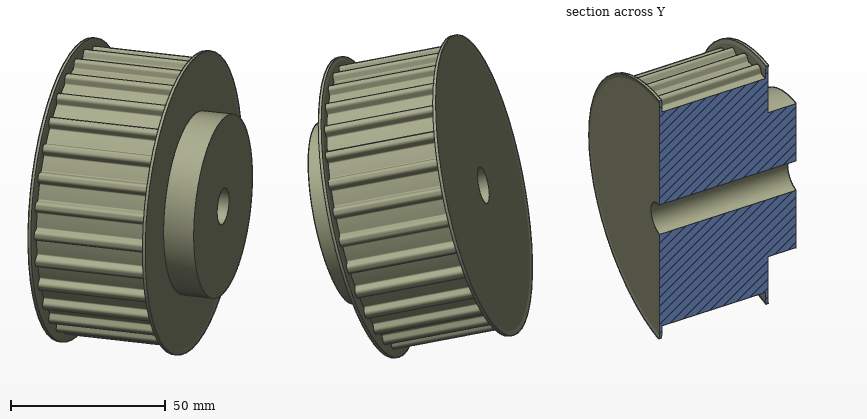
import cadquery as cq
import math

flange_radius = 49.5
belt_section_width = 40.0
hub_radius = 30.0
hub_length = 10.0
bore_radius = 6.0

flange_thickness = 1.0
flange_flat_radius = 48.0
rim_bend = 0.25

tooth_count = 30
tip_radius = 46.8
groove_depth = 2.4
groove_root_width = 5.2
groove_wall_angle = 25.0
mouth_overshoot = 1.0
tip_fillet = 1.2
root_fillet = 0.5

root_radius = tip_radius - groove_depth
pitch_angle = 360.0 / tooth_count


def x_cylinder(radius, start, length):
    """Cylinder around the X axis."""
    return cq.Workplane("YZ", origin=(start, 0, 0)).circle(radius).extrude(length)


def flange(inner_x, outward):
    """Disc from its inner flat face, with the rim bent in the outward direction (+1 or -1)."""
    bend = outward * rim_bend
    outer_x = inner_x + outward * flange_thickness
    profile = [
        (inner_x, 0),
        (inner_x, flange_flat_radius),
        (inner_x + bend, flange_radius),
        (outer_x + bend, flange_radius),
        (outer_x, flange_flat_radius),
        (outer_x, 0),
    ]
    return cq.Workplane("XY").polyline(profile).close().revolve(360, (0, 0, 0), (1, 0, 0))


def toothed_wheel(start, length):
    """Wheel with one straight-walled groove centred on +Z and the rest spaced evenly around X."""
    root_half = groove_root_width / 2
    root_corner_z = math.sqrt(root_radius**2 - root_half**2)
    mouth_z = tip_radius + mouth_overshoot
    mouth_half = root_half + (mouth_z - root_corner_z) * math.tan(math.radians(groove_wall_angle))
    groove = (
        cq.Workplane("YZ", origin=(start, 0, 0))
        .moveTo(-mouth_half, mouth_z)
        .lineTo(-root_half, root_corner_z)
        .threePointArc((0, root_radius), (root_half, root_corner_z))
        .lineTo(mouth_half, mouth_z)
        .close()
        .extrude(length)
        .edges("|X and <Z")
        .fillet(root_fillet)
    )
    wheel = x_cylinder(tip_radius, start, length)
    for index in range(tooth_count):
        wheel = wheel.cut(groove.rotate((0, 0, 0), (1, 0, 0), index * pitch_angle))

    mid_depth_radius = tip_radius - groove_depth / 2
    tip_edges = [
        edge
        for edge in wheel.edges("|X").vals()
        if math.hypot(edge.Center().y, edge.Center().z) > mid_depth_radius
    ]
    return wheel.newObject(tip_edges).fillet(tip_fillet)


pulley_start = -(belt_section_width + hub_length) / 2
belt_section_end = pulley_start + belt_section_width
left_inner_x = pulley_start + rim_bend + flange_thickness
right_inner_x = belt_section_end - rim_bend - flange_thickness

result = toothed_wheel(left_inner_x, right_inner_x - left_inner_x)
result = result.union(flange(left_inner_x, -1)).union(flange(right_inner_x, 1))
result = result.union(x_cylinder(hub_radius, right_inner_x, belt_section_end + hub_length - right_inner_x))
result = result.cut(x_cylinder(bore_radius, pulley_start, belt_section_width + hub_length))